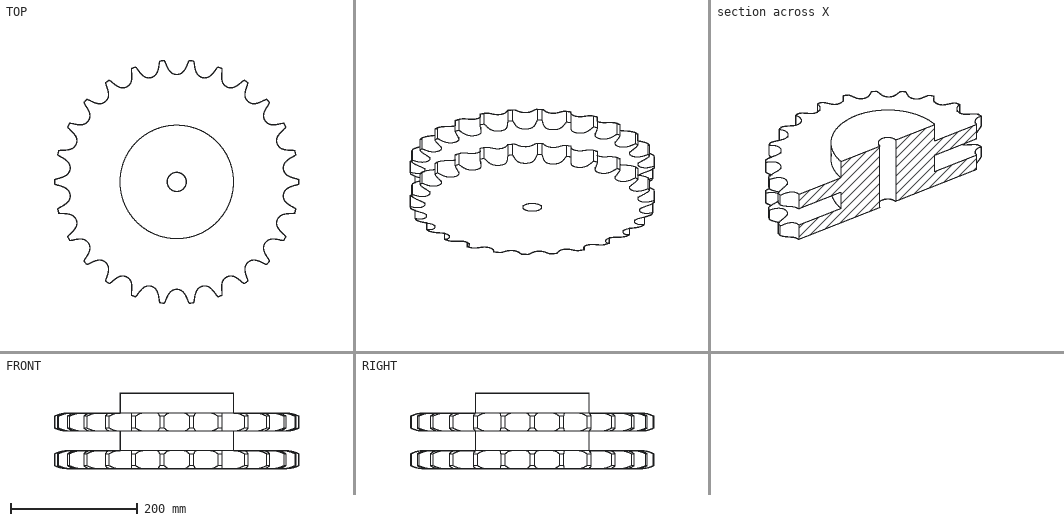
import cadquery as cq
import math


TOOTH_COUNT = 26
CHAIN_PITCH = 44.45
ROLLER_DIAMETER = 27.94
STRAND_SPACING = 59.56

TIP_RADIUS = 387.0 / 2
DISC_THICKNESS = 28.8
SIDE_RELIEF_RADIUS = 44.0
SIDE_RELIEF_DEPTH = 5.0

HUB_DIAMETER = 180.0
BORE_DIAMETER = 30.0
TOTAL_HEIGHT = 120.0

TOOTH_ANGLE = 2 * math.pi / TOOTH_COUNT
PITCH_RADIUS = CHAIN_PITCH / (2 * math.sin(TOOTH_ANGLE / 2))

SEAT_RADIUS = 0.5025 * ROLLER_DIAMETER + 0.038
FLANK_RADIUS = 1.3025 * ROLLER_DIAMETER + 0.038
SEAT_HALF_ANGLE = math.radians(55 - 60 / TOOTH_COUNT)
FLANK_ANGLE = math.radians(18 - 56 / TOOTH_COUNT)
TOPPING_ANGLE = math.radians(17 - 64 / TOOTH_COUNT)
STRAIGHT_LENGTH = ROLLER_DIAMETER * (1.4 * math.sin(TOPPING_ANGLE) - 0.8 * math.sin(FLANK_ANGLE))
TOPPING_RADIUS = ROLLER_DIAMETER * (
    0.8 * math.cos(FLANK_ANGLE) + 1.4 * math.cos(TOPPING_ANGLE) - 1.3025
)


def step(point, distance, direction):
    """Point reached from a start point along a direction angle."""
    return (
        point[0] + distance * math.cos(direction),
        point[1] + distance * math.sin(direction),
    )


def half_gap_points():
    """One side of a tooth gap, from its root on the +X axis out to the tooth tip.

    Returned in order: root, seat end, flank middle, flank end,
    straight end, topping middle, tip corner.
    """
    roller_center = (PITCH_RADIUS, 0.0)
    root = step(roller_center, SEAT_RADIUS, math.pi)
    seat_normal = math.pi - SEAT_HALF_ANGLE
    seat_end = step(roller_center, SEAT_RADIUS, seat_normal)

    flank_center = step(seat_end, -FLANK_RADIUS, seat_normal)
    flank_middle = step(flank_center, FLANK_RADIUS, seat_normal - FLANK_ANGLE / 2)
    flank_normal = seat_normal - FLANK_ANGLE
    flank_end = step(flank_center, FLANK_RADIUS, flank_normal)

    straight_end = step(flank_end, STRAIGHT_LENGTH, flank_normal - math.pi / 2)

    topping_center = step(straight_end, TOPPING_RADIUS, flank_normal)
    center_distance = math.hypot(*topping_center)
    center_angle = math.atan2(topping_center[1], topping_center[0])
    corner_offset = math.acos(
        (center_distance**2 + TIP_RADIUS**2 - TOPPING_RADIUS**2)
        / (2 * center_distance * TIP_RADIUS)
    )
    tip_corner = step((0.0, 0.0), TIP_RADIUS, center_angle - corner_offset)
    start_normal = flank_normal - math.pi
    end_normal = math.atan2(tip_corner[1] - topping_center[1], tip_corner[0] - topping_center[0])
    topping_middle = step(topping_center, TOPPING_RADIUS, (start_normal + end_normal) / 2)

    return [
        root, seat_end, flank_middle, flank_end, straight_end,
        topping_middle, tip_corner,
    ]


def rotated(point, angle):
    """Point turned about the sprocket axis."""
    cosine = math.cos(angle)
    sine = math.sin(angle)
    return (point[0] * cosine - point[1] * sine, point[0] * sine + point[1] * cosine)


def tooth_outline():
    """Closed outline of all teeth, with one tooth centred on the +X axis."""
    leaving_side = half_gap_points()
    entering_side = [(x, -y) for x, y in leaving_side]
    first_gap = TOOTH_ANGLE / 2
    outline = cq.Workplane("XY").moveTo(*rotated(entering_side[-1], first_gap))
    for index in range(TOOTH_COUNT):
        gap_angle = first_gap + index * TOOTH_ANGLE
        left = [rotated(point, gap_angle) for point in leaving_side]
        right = [rotated(point, gap_angle) for point in entering_side]
        root, seat_start, flank_in, flank_start, straight_start, topping_in, _ = right
        _, seat_end, flank_out, flank_end, straight_end, topping_out, corner = left
        tip_middle = step((0.0, 0.0), TIP_RADIUS, gap_angle + TOOTH_ANGLE / 2)
        next_corner = rotated(right[-1], TOOTH_ANGLE)
        outline = (
            outline.threePointArc(topping_in, straight_start)
            .lineTo(*flank_start)
            .threePointArc(flank_in, seat_start)
            .threePointArc(root, seat_end)
            .threePointArc(flank_out, flank_end)
            .lineTo(*straight_end)
            .threePointArc(topping_out, corner)
            .threePointArc(tip_middle, next_corner)
        )
    return outline.close()


def relieved_blank():
    """Round disc whose rim narrows on both sides along arcs tangent to its faces."""
    arc_height = SIDE_RELIEF_RADIUS - SIDE_RELIEF_DEPTH
    relief_width = math.sqrt(SIDE_RELIEF_RADIUS**2 - arc_height**2)
    relief_start = TIP_RADIUS - relief_width
    half_sweep = math.asin(relief_width / SIDE_RELIEF_RADIUS) / 2
    middle_radius = relief_start + SIDE_RELIEF_RADIUS * math.sin(half_sweep)
    middle_depth = SIDE_RELIEF_RADIUS * (1 - math.cos(half_sweep))
    return (
        cq.Workplane("XZ")
        .lineTo(relief_start, 0)
        .threePointArc((middle_radius, middle_depth), (TIP_RADIUS, SIDE_RELIEF_DEPTH))
        .lineTo(TIP_RADIUS, DISC_THICKNESS - SIDE_RELIEF_DEPTH)
        .threePointArc(
            (middle_radius, DISC_THICKNESS - middle_depth),
            (relief_start, DISC_THICKNESS),
        )
        .lineTo(0, DISC_THICKNESS)
        .close()
        .revolve(360, (0, 0, 0), (0, 1, 0))
    )


def toothed_disc():
    """One sprocket disc, standing on Z = 0."""
    return tooth_outline().extrude(DISC_THICKNESS).intersect(relieved_blank())


lower_disc = toothed_disc()
upper_disc = lower_disc.translate((0, 0, STRAND_SPACING))
hub = cq.Workplane("XY").circle(HUB_DIAMETER / 2).extrude(TOTAL_HEIGHT)
bore = cq.Workplane("XY").circle(BORE_DIAMETER / 2).extrude(TOTAL_HEIGHT)

result = hub.union(lower_disc).union(upper_disc).cut(bore)